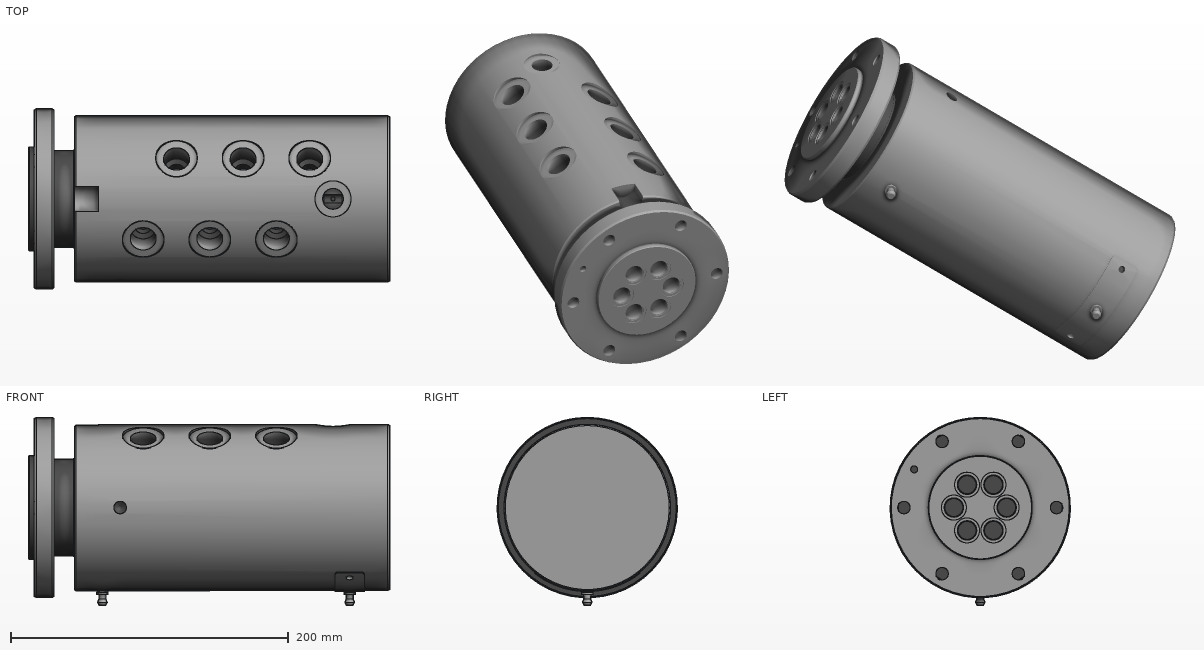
import cadquery as cq
import math

overall_length = 260.4
boss_dia = 75.0
boss_length = 4.0
boss_chamfer = 0.5
flange_dia = 130.0
flange_back_x = 18.4
flange_chamfer_length = 1.6
shaft_dia = 70.0
collar_dia = 70.6
collar_length = 0.8
body_dia = 120.0
body_front_x = 33.0
body_front_chamfer = 1.0
body_rear_chamfer_length = 1.6
chamfer_angle = 30.0
face_recess_dia = 92.0
face_recess_depth = 0.5
body_radius = body_dia / 2

bolt_circle_dia = 110.0
bolt_hole_dia = 9.0
bolt_hole_count = 6
pin_hole_dia = 5.0
pin_hole_angle = 30.0

drill_tip_angle = 118.0

face_port_count = 6
face_port_circle_dia = 38.0
face_port_dia = 13.0
face_port_depth = 60.0
port_step_dia = 14.0
port_step_depth = 1.0
seal_seat_dia = 18.0
seal_seat_depth = 0.5

radial_port_tilt = 30.0
radial_port_pitch = 48.0
radial_port_count = 3
near_row_x = 82.6
row_offset = radial_port_pitch / 2
spotface_dia = 30.0
spotface_radius = 57.5
radial_port_dia = 18.63
radial_port_depth = 16.0
radial_bore_dia = 12.0
radial_bore_depth = 24.0

drain_x = 219.4
drain_spotface_dia = 26.0
drain_spotface_z = 58.5
drain_hole_dia = 15.0
drain_hole_depth = 14.0
drain_channel_length = 13.0
drain_channel_width = 6.0
drain_pilot_dia = 3.0
drain_pilot_depth = 6.0

slot_width = 18.0
slot_length = 17.3
slot_axis_z = 58.5

side_hole_x = 66.0
side_hole_dia = 9.0
side_hole_depth = 10.0

nipple_xs = (53.2, 231.4)
nipple_tip_z = -70.5
nipple_hex_across_flats = 7.0
nipple_hex_height = 1.2
nipple_collar_dia = 8.4
nipple_collar_height = 1.4
nipple_neck_dia = 5.2
nipple_head_dia = 7.0
nipple_tip_dia = 4.8
nipple_neck_end_z = -66.0
nipple_head_z = -68.3
nipple_root_z = -55.0
plate_x = nipple_xs[1]
plate_length = 21.3
plate_thickness = 0.6
plate_half_angle = 39.0
plate_corner_radius = 2.5
plate_hole_dia = 5.0
plate_hole_angle = 33.2
plate_hole_depth = 4.0


def disc(x_start, x_end, diameter):
    """Cylinder along X between two stations."""
    return cq.Workplane("YZ", origin=(x_start, 0, 0)).circle(diameter / 2).extrude(x_end - x_start)


def radial_cylinder(x, tilt, outer_radius, inner_radius, diameter):
    """Cylinder between two radii; its axis meets the X axis, tilted from +Z towards -Y."""
    length = outer_radius - inner_radius
    cylinder = cq.Workplane("XY", origin=(x, 0, inner_radius)).circle(diameter / 2).extrude(length)
    return cylinder.rotate((0, 0, 0), (1, 0, 0), tilt)


def conical_tip(radius):
    """Drill point below the XY plane, with its rim at z = 0."""
    length = radius / math.tan(math.radians(drill_tip_angle / 2))
    profile = cq.Workplane("XZ").polyline([(0, 0), (radius, 0), (0, -length)]).close()
    return profile.revolve(360, (0, 0, 0), (0, 1, 0))


def turned_step(x_start, x_end, diameter, front_chamfer=(0, 0), rear_chamfer=(0, 0)):
    """Step turned about X; each chamfer is (length along X, radial depth)."""
    radius = diameter / 2
    front_length, front_depth = front_chamfer
    rear_length, rear_depth = rear_chamfer
    profile = (
        cq.Workplane("XZ")
        .moveTo(x_start, 0)
        .lineTo(x_start, radius - front_depth)
        .lineTo(x_start + front_length, radius)
        .lineTo(x_end - rear_length, radius)
        .lineTo(x_end, radius - rear_depth)
        .lineTo(x_end, 0)
        .close()
    )
    return profile.revolve(360, (0, 0, 0), (1, 0, 0))


def make_blank():
    slope = math.tan(math.radians(chamfer_angle))
    flange_chamfer = (flange_chamfer_length, flange_chamfer_length * slope)
    rear_chamfer = (body_rear_chamfer_length, body_rear_chamfer_length * slope)
    front_chamfer = (body_front_chamfer, body_front_chamfer)
    recess_floor_x = body_front_x + face_recess_depth

    boss = disc(0, boss_length, boss_dia).faces("<X").chamfer(boss_chamfer)
    flange = turned_step(boss_length, flange_back_x, flange_dia, flange_chamfer, flange_chamfer)
    shaft = disc(flange_back_x, recess_floor_x, shaft_dia)
    collar = disc(body_front_x - collar_length, recess_floor_x, collar_dia)
    body = turned_step(body_front_x, overall_length, body_dia, front_chamfer, rear_chamfer)
    body = body.cut(disc(body_front_x, recess_floor_x, face_recess_dia))
    return boss.union(flange).union(shaft).union(collar).union(body)


def flange_holes():
    thickness = flange_back_x - boss_length
    plane = cq.Workplane("YZ", origin=(boss_length, 0, 0))
    radius = bolt_circle_dia / 2
    bolts = plane.polarArray(radius, 0, 360, bolt_hole_count).circle(bolt_hole_dia / 2).extrude(thickness)
    pin = plane.polarArray(radius, pin_hole_angle, 360, 1).circle(pin_hole_dia / 2).extrude(thickness)
    return bolts.union(pin)


def face_ports():
    pattern = cq.Workplane("YZ").polarArray(face_port_circle_dia / 2, 0, 360, face_port_count)
    bores = pattern.circle(face_port_dia / 2).extrude(face_port_depth)
    seats = pattern.circle(seal_seat_dia / 2).extrude(seal_seat_depth)
    steps = pattern.circle(port_step_dia / 2).extrude(port_step_depth)
    return bores.union(steps).union(seats)


def radial_port(x, tilt):
    spotface = radial_cylinder(x, tilt, body_dia, spotface_radius, spotface_dia)
    port = radial_cylinder(x, tilt, body_dia, spotface_radius - radial_port_depth, radial_port_dia)
    bore = radial_cylinder(x, tilt, body_dia, spotface_radius - radial_bore_depth, radial_bore_dia)
    cone = conical_tip(radial_port_dia / 2).translate((x, 0, spotface_radius - radial_port_depth))
    cone = cone.rotate((0, 0, 0), (1, 0, 0), tilt)
    return spotface.union(port).union(cone).union(bore)


def drain_port():
    floor_z = drain_spotface_z - drain_hole_depth
    spotface = radial_cylinder(drain_x, 0, body_dia, drain_spotface_z, drain_spotface_dia)
    hole = radial_cylinder(drain_x, 0, body_dia, floor_z, drain_hole_dia)
    pilot = radial_cylinder(drain_x, 0, body_dia, floor_z - drain_pilot_depth, drain_pilot_dia)
    channel = disc(-drain_channel_length / 2, drain_channel_length / 2, drain_channel_width)
    channel = channel.translate((drain_x, 0, floor_z))
    return spotface.union(hole).union(pilot).union(channel)


def slot():
    rounded_bottom = disc(body_front_x, body_front_x + slot_length, slot_width).translate((0, 0, slot_axis_z))
    opening = cq.Workplane("XY").box(slot_length, slot_width, body_radius, centered=(False, True, False))
    return rounded_bottom.union(opening.translate((body_front_x, 0, slot_axis_z)))


def side_hole():
    hole = radial_cylinder(side_hole_x, 90, body_dia, body_radius - side_hole_depth, side_hole_dia)
    tip = conical_tip(side_hole_dia / 2).translate((side_hole_x, 0, body_radius - side_hole_depth))
    return hole.union(tip.rotate((0, 0, 0), (1, 0, 0), 90))


def grease_nipple(x):
    collar_top_z = -body_radius - nipple_hex_height
    collar_bottom_z = collar_top_z - nipple_collar_height
    hex_circumscribed_dia = nipple_hex_across_flats / math.cos(math.pi / 6)
    hexagon = (
        cq.Workplane("XY", origin=(0, 0, collar_top_z))
        .polygon(6, hex_circumscribed_dia)
        .extrude(nipple_root_z - collar_top_z)
    )
    profile = (
        cq.Workplane("XZ")
        .moveTo(0, collar_top_z)
        .lineTo(nipple_collar_dia / 2, collar_top_z)
        .lineTo(nipple_collar_dia / 2, collar_bottom_z)
        .lineTo(nipple_neck_dia / 2, collar_bottom_z)
        .lineTo(nipple_neck_dia / 2, nipple_neck_end_z)
        .lineTo(nipple_head_dia / 2, nipple_head_z)
        .lineTo(nipple_tip_dia / 2, nipple_tip_z)
        .lineTo(0, nipple_tip_z)
        .close()
    )
    turned = profile.revolve(360, (0, 0, 0), (0, 1, 0))
    return hexagon.union(turned).translate((x, 0, 0))


def curved_plate():
    outer_radius = body_radius + plate_thickness
    width = 2 * outer_radius * math.sin(math.radians(plate_half_angle))
    start_x = plate_x - plate_length / 2
    shell = disc(start_x, start_x + plate_length, 2 * outer_radius)
    shell = shell.cut(disc(start_x, start_x + plate_length, body_dia - plate_thickness))
    outline = (
        cq.Workplane("XY")
        .box(plate_length, width, body_dia, centered=(True, True, False))
        .edges("|Z")
        .fillet(plate_corner_radius)
        .translate((plate_x, 0, -body_dia))
    )
    return shell.intersect(outline)


def plate_hole(side):
    tilt = 180 - side * plate_hole_angle
    return radial_cylinder(plate_x, tilt, body_dia, body_radius - plate_hole_depth, plate_hole_dia)


result = make_blank().union(curved_plate())
result = result.cut(flange_holes()).cut(face_ports()).cut(drain_port()).cut(slot()).cut(side_hole())

for index in range(radial_port_count):
    port_x = near_row_x + index * radial_port_pitch
    result = result.cut(radial_port(port_x, radial_port_tilt))
    result = result.cut(radial_port(port_x + row_offset, -radial_port_tilt))

for side in (-1, 1):
    result = result.cut(plate_hole(side))

for nipple_x in nipple_xs:
    result = result.union(grease_nipple(nipple_x))